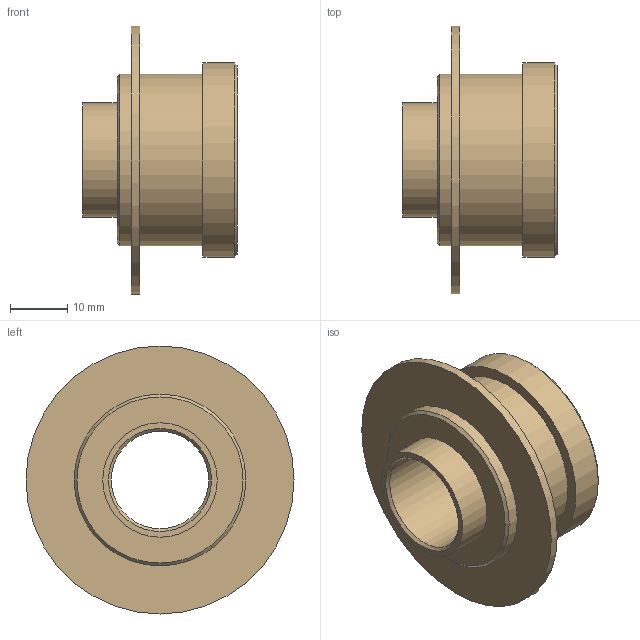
import cadquery as cq

bore_diameter = 17.0
spigot_diameter = 20.0
body_diameter = 30.0
head_diameter = 34.0
flange_diameter = 46.8

spigot_length = 6.0
body_length = 15.0
head_length = 6.0
flange_offset = 2.5
flange_thickness = 1.5

edge_chamfer = 0.5

body_start = spigot_length
flange_start = body_start + flange_offset
head_start = body_start + body_length


def cylinder_along_x(start, length, diameter):
    """Solid cylinder on the X axis, beginning at x = start."""
    return cq.Workplane("YZ", origin=(start, 0, 0)).circle(diameter / 2).extrude(length)


spigot = cylinder_along_x(0, spigot_length, spigot_diameter)
body = cylinder_along_x(body_start, body_length, body_diameter).faces("<X").chamfer(edge_chamfer)
head = cylinder_along_x(head_start, head_length, head_diameter).faces(">X").chamfer(edge_chamfer)

flange = cylinder_along_x(flange_start, flange_thickness, flange_diameter)

bushing = spigot.union(body).union(head).union(flange)

bored = bushing.faces("<X").workplane(centerOption="CenterOfMass").hole(bore_diameter)
result = bored.faces("<X").edges(cq.selectors.RadiusNthSelector(0)).chamfer(edge_chamfer)